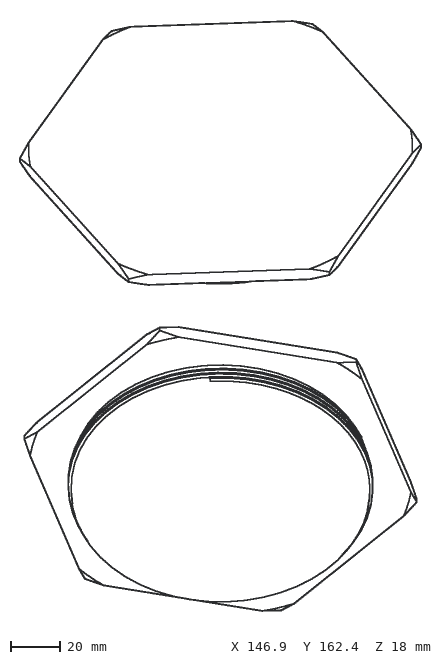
import cadquery as cq
import math

overall_length = 162.4
overall_height = 18.0
head_thickness = 6.0
head_turn = 4.4
corner_radius = overall_length / 2 / math.cos(math.radians(head_turn))
face_circle_radius = 77.8
corner_chamfer_height = 2.1

plug_diameter = 121.0
plug_radius = plug_diameter / 2
plug_end_round = 1.5

thread_pitch = 2.5
thread_turns = 2.2
thread_height = 1.22
thread_root_width = 2.3
thread_crest_width = 0.8
thread_embed = 0.5
thread_top_depth = 9.3
thread_length = thread_pitch * thread_turns
thread_start_angle = 180 - 360 * thread_turns
thread_bottom = overall_height - thread_top_depth - thread_length


def make_head():
    head_bottom = overall_height - head_thickness
    hexagon = (
        cq.Workplane("XY")
        .workplane(offset=head_bottom)
        .polygon(6, 2 * corner_radius)
        .extrude(head_thickness)
        .rotate((0, 0, 0), (0, 0, 1), 90 + head_turn)
    )
    blank = (
        cq.Workplane("XZ")
        .moveTo(0, head_bottom)
        .lineTo(face_circle_radius, head_bottom)
        .lineTo(corner_radius, head_bottom + corner_chamfer_height)
        .lineTo(corner_radius, overall_height - corner_chamfer_height)
        .lineTo(face_circle_radius, overall_height)
        .lineTo(0, overall_height)
        .close()
        .revolve(360, (0, 0, 0), (0, 1, 0))
    )
    return hexagon.intersect(blank)


def make_plug():
    plug = cq.Workplane("XY").circle(plug_radius).extrude(overall_height - head_thickness / 2)
    return plug.faces("<Z").edges().fillet(plug_end_round)


def make_thread():
    helix = cq.Wire.makeHelix(thread_pitch, thread_length, plug_radius)
    inner_radius = plug_radius - thread_embed
    crest_radius = plug_radius + thread_height
    ridge = (
        cq.Workplane("XZ")
        .moveTo(inner_radius, -thread_root_width / 2)
        .lineTo(crest_radius, -thread_crest_width / 2)
        .lineTo(crest_radius, thread_crest_width / 2)
        .lineTo(inner_radius, thread_root_width / 2)
        .close()
        .sweep(cq.Workplane(helix), isFrenet=True)
    )
    return ridge.rotate((0, 0, 0), (0, 0, 1), thread_start_angle).translate((0, 0, thread_bottom))


result = make_head().union(make_plug()).union(make_thread())